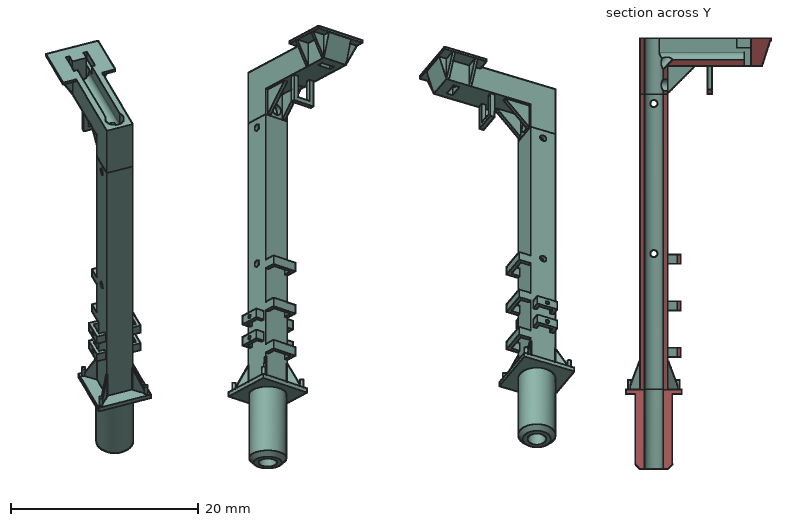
import cadquery as cq
import math


POST_WIDTH = 3.0
POST_HALF = POST_WIDTH / 2
BORE_DIAMETER = 2.0
BRACKET_WALL = 0.4

TOTAL_LENGTH = 15.5
TOTAL_HEIGHT = 46.0
ARM_BOTTOM = TOTAL_HEIGHT - POST_WIDTH
MAST_TOP = ARM_BOTTOM - POST_WIDTH

TUBE_DIAMETER = 4.0
TUBE_LENGTH = 8.0
TUBE_CHAMFER = 0.5
PLATE_WIDTH = 6.0
PLATE_THICKNESS = 0.5
PLATE_TOP = TUBE_LENGTH + PLATE_THICKNESS

RIB_HEIGHT = 3.0
RIB_THICKNESS = 0.2
RIB_FOOT = 2.6
BOLT_OFFSET = 2.58
BOLT_DIAMETER = 0.4
BOLT_HEIGHT = 1.0

CROSS_HOLE_DIAMETER = 0.75
CROSS_HOLE_HEIGHTS = (23.0, 39.0)

BRACKET_HEIGHT = 1.0
STEP_DEPTH = 1.4
STEP_COUNT = 3
STEP_FIRST_BOTTOM = 11.95
STEP_PITCH = 4.95
SIDE_WIDTH = 2.4
SIDE_DEPTH = 1.0
SIDE_COUNT = 2
SIDE_FIRST_BOTTOM = 13.5
SIDE_PITCH = STEP_PITCH / 2
SIDE_HOLE_DIAMETER = 0.4

WEB_LEG = 2.9
WEB_OUTER_WIDTH = 2.4
CABLE_HOLE_DIAMETER = 1.2
CABLE_HOLE_HEIGHT = 41.0

ARM_TIP = PLATE_WIDTH / 2 - TOTAL_LENGTH
ARM_TIP_SETBACK = 0.95
CHANNEL_WIDTH = 1.6
CHANNEL_DEPTH = 2.3
CHANNEL_FLOOR = TOTAL_HEIGHT - CHANNEL_DEPTH
SLOT_LEFT = -10.35
SLOT_LENGTH = 0.7

HEAD_LENGTH = 5.0
HEAD_WIDTH = PLATE_WIDTH
HEAD_THICKNESS = 0.3
HEAD_RIB_THICKNESS = 0.3
POCKET_SIZE = 2.4
POCKET_DEPTH = 1.0
POCKET_LEFT = ARM_TIP + ARM_TIP_SETBACK + HEAD_RIB_THICKNESS

HANGER_LEFT = -6.2
HANGER_THICKNESS = 0.5
HANGER_WIDTH = 2.6
HANGER_OPENING = 1.5
HANGER_BAR = 0.5

PASSAGE_ANGLE = 45.0
PASSAGE_X = -1.15
PASSAGE_LEAD = 0.7


def box(x_min, x_max, width, z_min, z_max):
    """Block between two X and two Z positions, centred on Y = 0."""
    block = cq.Workplane("XY").box(x_max - x_min, width, z_max - z_min, centered=(False, True, False))
    return block.translate((x_min, 0, z_min))


def column(diameter, z_min, z_max, x=0, y=0):
    """Upright cylinder."""
    return cq.Workplane("XY", origin=(x, y, z_min)).circle(diameter / 2).extrude(z_max - z_min)


def extrude_xz(points, y_min, y_max):
    """Prism with an outline in X and Z, running along Y."""
    return cq.Workplane("XZ", origin=(0, y_max, 0)).polyline(points).close().extrude(y_max - y_min)


def turned(body, angle):
    """Body turned about the mast axis."""
    return body.rotate((0, 0, 0), (0, 0, 1), angle)


def post():
    """Solid square post between the base plate and the arm."""
    return box(-POST_HALF, POST_HALF, POST_WIDTH, PLATE_TOP, MAST_TOP)


def cross_hole(z):
    """Cutter along Y through the whole post."""
    plane = cq.Workplane("XZ", origin=(0, POST_HALF, z))
    return plane.circle(CROSS_HOLE_DIAMETER / 2).extrude(POST_WIDTH)


def bore():
    """Cutter for the cable bore along the whole column."""
    return column(BORE_DIAMETER, 0, TOTAL_HEIGHT)


def passage():
    """Cutter for the sloping cable passage, from inside the channel down to the mast axis."""
    slope = math.tan(math.radians(PASSAGE_ANGLE))
    start = cq.Vector(PASSAGE_X - PASSAGE_LEAD, 0, CHANNEL_FLOOR + PASSAGE_LEAD * slope)
    end = cq.Vector(0, 0, CHANNEL_FLOOR + PASSAGE_X * slope)
    direction = end - start
    return cq.Workplane(
        cq.Solid.makeCylinder(CABLE_HOLE_DIAMETER / 2, direction.Length, start, direction)
    )


def u_bracket(width, depth, bottom):
    """U-shaped bracket standing off the -X face of the post, open towards the post."""
    outer_face = -POST_HALF - depth
    top = bottom + BRACKET_HEIGHT
    outer = box(outer_face, -POST_HALF, width, bottom, top)
    gap = box(outer_face + BRACKET_WALL, -POST_HALF, width - 2 * BRACKET_WALL, bottom, top)
    return outer.cut(gap)


def side_bracket(bottom):
    """U-shaped bracket with a small hole through its outer wall."""
    bracket = u_bracket(SIDE_WIDTH, SIDE_DEPTH, bottom)
    plane = cq.Workplane("YZ", origin=(-POST_HALF - SIDE_DEPTH, 0, bottom + BRACKET_HEIGHT / 2))
    return bracket.cut(plane.circle(SIDE_HOLE_DIAMETER / 2).extrude(BRACKET_WALL))


def corner_rib():
    """Triangular rib along +X, from the mast axis past the post corner to its foot."""
    corner = POST_HALF * math.sqrt(2)
    foot = RIB_FOOT * math.sqrt(2)
    rib_top = PLATE_TOP + RIB_HEIGHT
    outline = [(0, PLATE_TOP), (foot, PLATE_TOP), (corner, rib_top), (0, rib_top)]
    return extrude_xz(outline, -RIB_THICKNESS / 2, RIB_THICKNESS / 2)


def make_base():
    """Anchor tube and base plate, with four corner ribs around the post and four bolts."""
    base = column(TUBE_DIAMETER, 0, TUBE_LENGTH).faces("<Z").chamfer(TUBE_CHAMFER)
    base = base.union(box(-PLATE_WIDTH / 2, PLATE_WIDTH / 2, PLATE_WIDTH, TUBE_LENGTH, PLATE_TOP))
    for quarter in range(4):
        base = base.union(turned(corner_rib(), 45 + 90 * quarter))
    base = base.cut(post())
    for x in (-BOLT_OFFSET, BOLT_OFFSET):
        for y in (-BOLT_OFFSET, BOLT_OFFSET):
            base = base.union(column(BOLT_DIAMETER, PLATE_TOP, PLATE_TOP + BOLT_HEIGHT, x, y))
    return base.cut(bore())


def make_mast():
    """Hollow square post with step brackets on its -X face and drilled brackets on both Y faces."""
    mast = post()
    for index in range(STEP_COUNT):
        mast = mast.union(u_bracket(POST_WIDTH, STEP_DEPTH, STEP_FIRST_BOTTOM + index * STEP_PITCH))
    for index in range(SIDE_COUNT):
        bottom = SIDE_FIRST_BOTTOM + index * SIDE_PITCH
        for angle in (-90, 90):
            mast = mast.union(turned(side_bracket(bottom), angle))

    mast = mast.cut(bore())
    for z in CROSS_HOLE_HEIGHTS:
        mast = mast.cut(cross_hole(z))
    return mast


def corner_webs():
    """Two triangular webs below the arm, side by side against the -X face of the corner post."""
    outline = [
        (-POST_HALF, ARM_BOTTOM),
        (-POST_HALF - WEB_LEG, ARM_BOTTOM),
        (-POST_HALF, ARM_BOTTOM - WEB_LEG),
    ]
    webs = extrude_xz(outline, -WEB_OUTER_WIDTH / 2, WEB_OUTER_WIDTH / 2)
    return webs.cut(box(-POST_HALF - WEB_LEG, -POST_HALF, CHANNEL_WIDTH, MAST_TOP, ARM_BOTTOM))


def cable_hole():
    """Cutter along X between the webs, from the -X face into the bore."""
    plane = cq.Workplane("YZ", origin=(-POST_HALF, 0, CABLE_HOLE_HEIGHT))
    return plane.circle(CABLE_HOLE_DIAMETER / 2).extrude(POST_HALF)


def head_rib(x_min):
    """Trapezoidal rib carrying both overhangs of the head plate."""
    outline = [
        (-HEAD_WIDTH / 2, TOTAL_HEIGHT - HEAD_THICKNESS),
        (-POST_HALF, ARM_BOTTOM),
        (POST_HALF, ARM_BOTTOM),
        (HEAD_WIDTH / 2, TOTAL_HEIGHT - HEAD_THICKNESS),
    ]
    plane = cq.Workplane("YZ", origin=(x_min, 0, 0))
    return plane.polyline(outline).close().extrude(HEAD_RIB_THICKNESS)


def head_pocket():
    """Cutter for the square pocket in the head, around a pad that ends the channel at full height."""
    right = POCKET_LEFT + POCKET_SIZE
    bottom = TOTAL_HEIGHT - POCKET_DEPTH
    pocket = box(POCKET_LEFT, right, POCKET_SIZE, bottom, TOTAL_HEIGHT)
    return pocket.cut(box(POCKET_LEFT, SLOT_LEFT, CHANNEL_WIDTH, bottom, TOTAL_HEIGHT))


def hanger():
    """Rectangular frame below the arm, reaching down to the mast top."""
    right = HANGER_LEFT + HANGER_THICKNESS
    frame = box(HANGER_LEFT, right, HANGER_WIDTH, MAST_TOP, ARM_BOTTOM)
    return frame.cut(box(HANGER_LEFT, right, HANGER_OPENING, MAST_TOP + HANGER_BAR, ARM_BOTTOM))


def channel():
    """Cutter for the cable channel with a half-round floor, from the slot to the bore."""
    radius = CHANNEL_WIDTH / 2
    axis_z = CHANNEL_FLOOR + radius
    walls = box(SLOT_LEFT, 0, CHANNEL_WIDTH, axis_z, TOTAL_HEIGHT)
    floor = cq.Workplane("YZ", origin=(SLOT_LEFT, 0, axis_z)).circle(radius).extrude(-SLOT_LEFT)
    return walls.union(floor)


def make_arm():
    """Corner post and arm with webs, lamp head and hanger, cut by the channel and the cable ways."""
    arm_outline = [
        (ARM_TIP, TOTAL_HEIGHT),
        (ARM_TIP + ARM_TIP_SETBACK, ARM_BOTTOM),
        (POST_HALF, ARM_BOTTOM),
        (POST_HALF, TOTAL_HEIGHT),
    ]
    arm = extrude_xz(arm_outline, -POST_HALF, POST_HALF)
    arm = arm.union(box(-POST_HALF, POST_HALF, POST_WIDTH, MAST_TOP, ARM_BOTTOM))
    arm = arm.union(corner_webs())
    arm = arm.union(hanger())

    head_bottom = TOTAL_HEIGHT - HEAD_THICKNESS
    arm = arm.union(box(ARM_TIP, ARM_TIP + HEAD_LENGTH, HEAD_WIDTH, head_bottom, TOTAL_HEIGHT))
    for x_min in (POCKET_LEFT - HEAD_RIB_THICKNESS, POCKET_LEFT + POCKET_SIZE):
        arm = arm.union(head_rib(x_min))

    arm = arm.cut(head_pocket())
    arm = arm.cut(box(SLOT_LEFT, SLOT_LEFT + SLOT_LENGTH, CHANNEL_WIDTH, ARM_BOTTOM, TOTAL_HEIGHT))
    return arm.cut(channel()).cut(bore()).cut(passage()).cut(cable_hole())


base = make_base()
mast = make_mast()
arm = make_arm()

result = cq.Compound.makeCompound([base.val(), mast.val(), arm.val()])